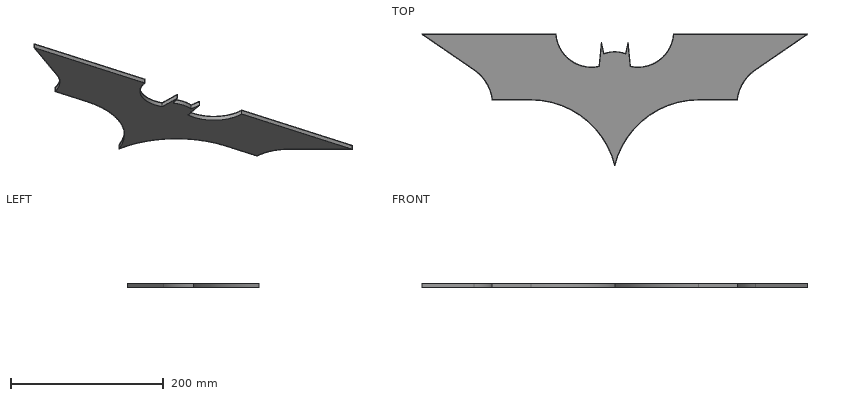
import cadquery as cq
import math

span = 505.67
height = 172.39
thickness = 5.75

top_y = height
lower_edge_y = height / 2

wing_tip = (span / 2, top_y)
outer_arc_start = (184.4, top_y - 46.9)
lower_corner = (160.6, lower_edge_y)
tail_arc_start = (110.0, lower_edge_y)
tail_tip = (0.0, 0.0)

notch_outer_x = 77.0
notch_center_x = 30.5
notch_depth = 43.2

neck_half_width = 20.6
ear_tip = (17.5, top_y - 11.0)
ear_root = (14.1, top_y - 25.5)
crown = (0.0, top_y - 22.9)


def tangent_arc_radius(run, rise):
    """Radius of an arc that starts parallel to X and reaches a point run along X and rise along Y."""
    return (run**2 + rise**2) / (2 * rise)


def notch_point(x):
    """Point on the lower half of the notch circle at the given X."""
    radius = tangent_arc_radius(notch_outer_x - notch_center_x, notch_depth)
    center_y = top_y - notch_depth + radius
    return (x, center_y - math.sqrt(radius**2 - (x - notch_center_x) ** 2))


def tail_arc_middle():
    """Midpoint of the arc that leaves the lower edge tangentially and ends at the tail tip."""
    run = tail_arc_start[0] - tail_tip[0]
    drop = tail_arc_start[1] - tail_tip[1]
    radius = tangent_arc_radius(run, drop)
    half_sweep = math.asin(run / radius) / 2
    x = tail_arc_start[0] - radius * math.sin(half_sweep)
    y = tail_arc_start[1] - radius * (1 - math.cos(half_sweep))
    return (x, y)


def half_plate():
    """Wing, ear and half tail on the +X side, with the whole crown so the two halves overlap."""
    notch_middle = notch_point((notch_outer_x + neck_half_width) / 2)
    neck_corner = notch_point(neck_half_width)
    crown_mirror_root = (-ear_root[0], ear_root[1])
    outline = (
        cq.Workplane("XY")
        .moveTo(*crown_mirror_root)
        .threePointArc(crown, ear_root)
        .lineTo(*ear_tip)
        .lineTo(*neck_corner)
        .threePointArc(notch_middle, (notch_outer_x, top_y))
        .lineTo(*wing_tip)
        .lineTo(*outer_arc_start)
        .tangentArcPoint(lower_corner, relative=False)
        .lineTo(*tail_arc_start)
        .threePointArc(tail_arc_middle(), tail_tip)
        .close()
    )
    return outline.extrude(thickness)


right_half = half_plate()
result = right_half.union(right_half.mirror("YZ")).clean()